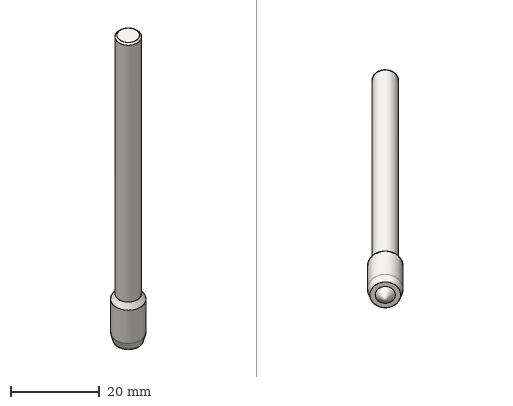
import cadquery as cq

total_length = 92.3
shank_diameter = 6.0
head_diameter = 8.0
nose_diameter = 6.9
tip_diameter = 4.5
end_chamfer = 0.5
nose_length = 2.3
head_length = 9.8
shoulder_length = 1.6

shank_radius = shank_diameter / 2
head_radius = head_diameter / 2
nose_radius = nose_diameter / 2
tip_radius = tip_diameter / 2
point_height = tip_radius
nose_top = point_height + nose_length
head_top = nose_top + head_length
shoulder_top = head_top + shoulder_length


def make_rod():
    """Stepped rod with a tapered head, revolved around Z."""
    return (
        cq.Workplane("XZ")
        .moveTo(0, point_height)
        .lineTo(nose_radius, point_height)
        .lineTo(head_radius, nose_top)
        .lineTo(head_radius, head_top)
        .lineTo(shank_radius, shoulder_top)
        .lineTo(shank_radius, total_length - end_chamfer)
        .lineTo(shank_radius - end_chamfer, total_length)
        .lineTo(0, total_length)
        .close()
        .revolve(360, (0, 0, 0), (0, 1, 0))
    )


def make_tip():
    """Conical point seated against the flat end of the head."""
    return (
        cq.Workplane("XZ")
        .lineTo(tip_radius, point_height)
        .lineTo(0, point_height)
        .close()
        .revolve(360, (0, 0, 0), (0, 1, 0))
    )


rod = make_rod()
tip = make_tip()
result = cq.Compound.makeCompound([rod.val(), tip.val()])